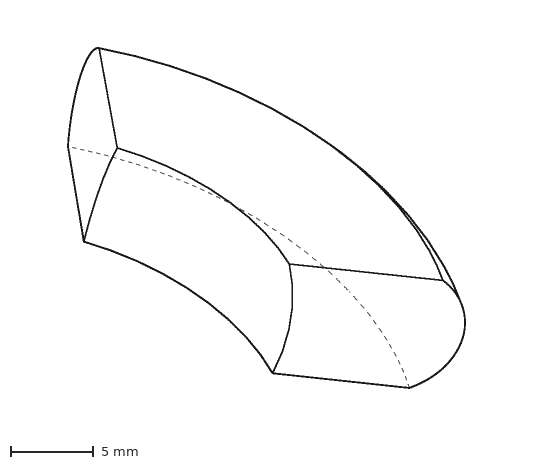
import cadquery as cq
import math

rim_center_radius = 19.15
rim_radius = 5.03
face_offset = 4.25

cavity_radius = 15.4
cavity_y = -2.18
cavity_z = -1.7

top_lean = (-0.005, 0.006)
bottom_lean = (-0.014, 0.011)

left_end_angle = 225.1
right_end_angle = -43.5
wedge_tip_y = 3.35

ring_tilt = 21.2
ring_center = (0.3, -15.7, 5.88)

cutter_size = 90.95


def outside_of(point, normal):
    """Large block that starts at a plane and fills the side its normal points to."""
    return (
        cq.Workplane(cq.Plane(origin=point, normal=normal))
        .rect(cutter_size, cutter_size)
        .extrude(cutter_size)
    )


def rounded_disc():
    """Disc with a fully rounded rim, turned about local Z."""
    return (
        cq.Workplane("XZ")
        .moveTo(0, -rim_radius)
        .lineTo(rim_center_radius, -rim_radius)
        .threePointArc((rim_center_radius + rim_radius, 0), (rim_center_radius, rim_radius))
        .lineTo(0, rim_radius)
        .close()
        .revolve(360, (0, 0), (0, 1))
    )


def cavity():
    """Ball that leaves the inner side concave in both directions."""
    return cq.Workplane("XY").sphere(cavity_radius).translate((0, cavity_y, cavity_z))


def end_cut(angle):
    """Everything beyond one upright end face of the wedge."""
    direction = (math.cos(math.radians(angle)), math.sin(math.radians(angle)), 0)
    return outside_of((0, wedge_tip_y, 0), direction)


segment = (
    rounded_disc()
    .cut(outside_of((0, 0, face_offset), (*top_lean, 1)))
    .cut(outside_of((0, 0, -face_offset), (*bottom_lean, -1)))
    .cut(end_cut(left_end_angle))
    .cut(end_cut(right_end_angle))
    .cut(cavity())
)

result = segment.rotate((0, 0, 0), (1, 0, 0), -ring_tilt).translate(ring_center)